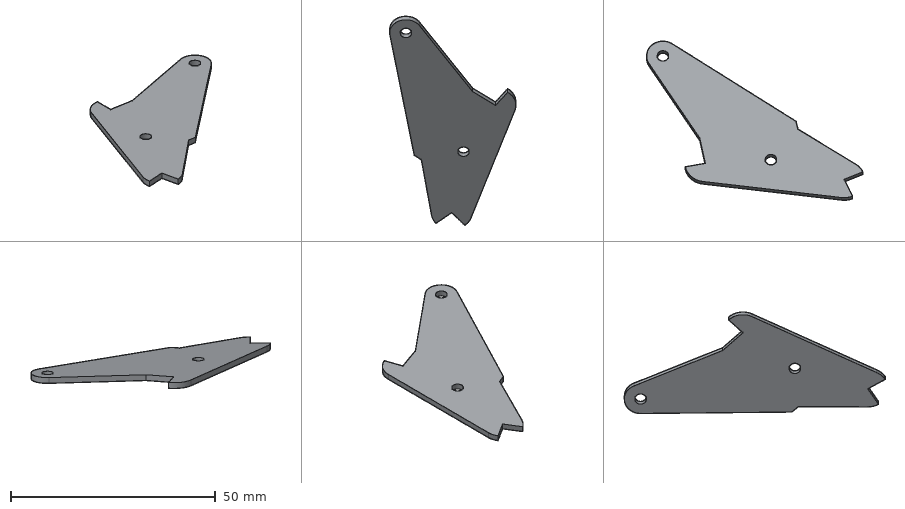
import cadquery as cq
import math

thickness = 1.5
hole_diameter = 2.8
lower_hole = (19.55, -33.3)

pivot = (0.0, 0.0)
pivot_radius = 4.0
heel_corner = (3.7, -30.75)
toe_corner = (35.84, -42.45)
end_radius = 5.0

shoulder = (3.87, -23.8)
ledge_x = 27.85
ledge_top = (ledge_x, -24.5)
ledge_bottom = (ledge_x, -26.7)

heel_notch_angle = 178.5
toe_notch_angle = 11.5
toe_notch_opening = 90.0


def on_circle(center, radius, angle):
    """Point on a circle at an angle in degrees."""
    turn = math.radians(angle)
    return (center[0] + radius * math.cos(turn), center[1] + radius * math.sin(turn))


def direction(start, end):
    """Direction in degrees from one point to another."""
    return math.degrees(math.atan2(end[1] - start[1], end[0] - start[0]))


def tangent_angle(point, center, radius, side):
    """Angle at which a line from an outside point touches a circle; side is +1 or -1."""
    distance = math.dist(point, center)
    return direction(center, point) + side * math.degrees(math.acos(radius / distance))


def add_arc(outline, center, radius, start_angle, end_angle):
    """Continue the outline with an arc that begins at its current point."""
    middle = on_circle(center, radius, (start_angle + end_angle) / 2)
    return outline.threePointArc(middle, on_circle(center, radius, end_angle))


def plate_outline():
    """Closed outline, drawn counterclockwise from the shoulder."""
    lower_edge_normal = direction(heel_corner, toe_corner) - 90
    toe_lower_tip_angle = toe_notch_angle - toe_notch_opening
    toe_upper_end = tangent_angle(ledge_bottom, toe_corner, end_radius, -1)
    pivot_start = tangent_angle(ledge_top, pivot, pivot_radius, 1)
    pivot_end = tangent_angle(shoulder, pivot, pivot_radius, -1)
    full_turn = 360

    outline = cq.Workplane("XY").moveTo(*shoulder).lineTo(*heel_corner)
    outline = outline.lineTo(*on_circle(heel_corner, end_radius, heel_notch_angle))
    outline = add_arc(outline, heel_corner, end_radius, heel_notch_angle, lower_edge_normal + full_turn)

    outline = outline.lineTo(*on_circle(toe_corner, end_radius, lower_edge_normal))
    outline = add_arc(outline, toe_corner, end_radius, lower_edge_normal, toe_lower_tip_angle)
    outline = outline.lineTo(*toe_corner)
    outline = outline.lineTo(*on_circle(toe_corner, end_radius, toe_notch_angle))
    outline = add_arc(outline, toe_corner, end_radius, toe_notch_angle, toe_upper_end)

    outline = outline.lineTo(*ledge_bottom).lineTo(*ledge_top)
    outline = outline.lineTo(*on_circle(pivot, pivot_radius, pivot_start))
    outline = add_arc(outline, pivot, pivot_radius, pivot_start, pivot_end + full_turn)
    return outline.close()


def pivot_holes():
    """Cutters for the two through holes."""
    centers = cq.Workplane("XY").pushPoints([pivot, lower_hole])
    return centers.circle(hole_diameter / 2).extrude(thickness)


result = plate_outline().extrude(thickness).cut(pivot_holes())